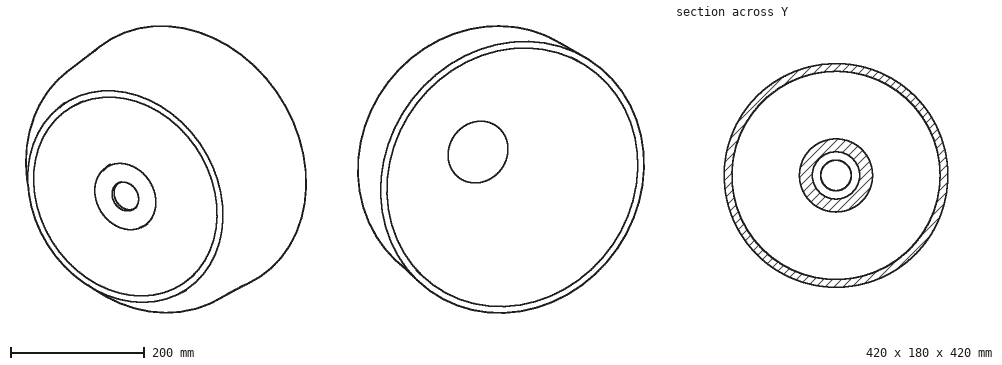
import cadquery as cq
import math


rim_radius = 210.0
height = 180.0
wall = 10.0
side_draft = 2.7
shoulder_height = 40.0
shoulder_fillet = 33.5

foot_radius = 166.5
foot_draft = 4.3
foot_inner_draft = 2.9
foot_outer_fillet = 4.0
foot_inner_fillet = 10.0

floor_slope = 6.8
floor_base = 15.5

boss_radius = 52.0
boss_draft = 4.0
boss_fillet = 10.0
drain_radius = 22.5
seat_start = 6.5
seat_angle = 45
plug_recess = 21.0

side_taper = math.tan(math.radians(side_draft))
foot_taper = math.tan(math.radians(foot_draft))
foot_inner_taper = math.tan(math.radians(foot_inner_draft))
boss_taper = math.tan(math.radians(boss_draft))
seat_taper = math.tan(math.radians(seat_angle))
floor_rise = math.tan(math.radians(floor_slope))

inner_floor_base = floor_base + wall / math.cos(math.radians(floor_slope))


def meet_floor(base_radius, taper, floor_apex):
    """Point (radius, height) where a tapered wall meets a conical floor."""
    level = (floor_apex + floor_rise * base_radius) / (1 - floor_rise * taper)
    return base_radius + taper * level, level


def seat_top():
    """Point (radius, height) where the conical seat opens into the inner floor."""
    return meet_floor(drain_radius - seat_taper * seat_start, seat_taper, inner_floor_base)


def fillet_corner(body, corner, radius):
    """Round the circular edge that passes through a profile corner."""
    corner_radius, level = corner
    tolerance = 0.005

    def is_corner_edge(edge):
        if edge.geomType() != "CIRCLE":
            return False
        same_level = abs(edge.Center().y - level) < tolerance
        return same_level and abs(edge.radius() - corner_radius) < tolerance

    return body.edges().filter(is_corner_edge).fillet(radius)


def revolve_profile(points):
    """Revolve (radius, height) points about the Y axis."""
    return cq.Workplane("ZY").polyline(points).close().revolve(360, (0, 0, 0), (0, 1, 0))


def make_basin():
    shoulder = (rim_radius - side_taper * (height - shoulder_height), shoulder_height)
    foot_top = (foot_radius + foot_taper * shoulder_height, shoulder_height)
    foot_inner_radius = foot_radius - wall
    foot_inner = meet_floor(foot_inner_radius, -foot_inner_taper, floor_base)
    boss_root = meet_floor(boss_radius, boss_taper, floor_base)
    rim_inner_radius = rim_radius - wall
    inner_corner = meet_floor(rim_inner_radius - side_taper * height, side_taper, inner_floor_base)

    basin = revolve_profile([
        (rim_radius, height),
        shoulder,
        foot_top,
        (foot_radius, 0),
        (foot_inner_radius, 0),
        foot_inner,
        boss_root,
        (boss_radius, 0),
        (drain_radius, 0),
        (drain_radius, seat_start),
        seat_top(),
        inner_corner,
        (rim_inner_radius, height),
    ])
    basin = fillet_corner(basin, shoulder, shoulder_fillet)
    basin = fillet_corner(basin, inner_corner, shoulder_fillet - wall)
    basin = fillet_corner(basin, foot_top, foot_outer_fillet)
    basin = fillet_corner(basin, foot_inner, foot_inner_fillet)
    return fillet_corner(basin, boss_root, boss_fillet)


def make_plug():
    """Tapered disc that fills the seat from the recess up to the inner floor."""
    top_radius, top_level = seat_top()
    bottom_radius = drain_radius + seat_taper * (plug_recess - seat_start)
    return revolve_profile([
        (0, plug_recess),
        (bottom_radius, plug_recess),
        (top_radius, top_level),
        (0, top_level),
    ])


basin = make_basin()
plug = make_plug()

result = cq.Compound.makeCompound([basin.val(), plug.val()])